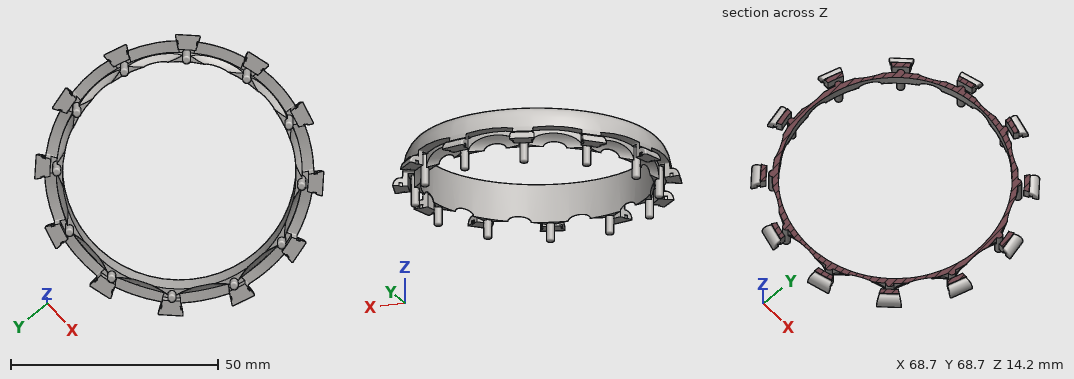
import cadquery as cq
import math

bore_radius = 28.2
top_land_radius = 28.45
outer_radius = 32.55
ring_height = 9.66

count = 12
pitch_angle = 360.0 / count
foot_angle = pitch_angle / 2

overall_width = 68.69
foot_height = 2.15
foot_neck_fillet = 0.4
foot_edge_round = 0.3
foot_blank_width = 10.0
notch_start = 31.2
notch_height = 0.8
notch_length = 1.6
notch_depth = 0.3

inner_wall_radius = 29.7
groove_outer_radius = 31.2
groove_height = 3.3

opening_width = 12.0
opening_side_height = 3.5
opening_mid_height = 3.87
opening_corner_round = 0.3

scoop_centre_radius = 48.0
scoop_radius = 20.14
scoop_height = 7.3

pin_circle_radius = 29.62
pin_diameter = 2.0
pin_length = 4.5
pin_root_height = 4.0
pin_tip_round = 0.5

cut_overrun = 1.0

half_pitch = math.radians(foot_angle)
half_opening = opening_width / 2
corner_x = overall_width / 2 - foot_edge_round
corner_y = half_opening + foot_edge_round
foot_radius = corner_x * math.cos(half_pitch) + corner_y * math.sin(half_pitch) + foot_edge_round

foot_neck_top = foot_height + foot_neck_fillet


def around_ring(shape, first_angle):
    """Copies of a shape made on the +X axis, spaced evenly around Z."""
    copies = []
    for index in range(count):
        angle = first_angle + index * pitch_angle
        copies.append(shape.val().rotate(cq.Vector(0, 0, 0), cq.Vector(0, 0, 1), angle))
    return copies


def make_ring():
    """Ring with a plain bore and a quarter-elliptic outside, revolved about Z."""
    profile = (
        cq.Workplane("XZ")
        .moveTo(bore_radius, 0)
        .lineTo(outer_radius, 0)
        .lineTo(outer_radius, foot_neck_top)
        .ellipseArc(
            outer_radius - top_land_radius, ring_height - foot_neck_top, 0, 90, startAtCurrent=True
        )
        .lineTo(bore_radius, ring_height)
        .close()
    )
    return profile.revolve(360, (0, 0, 0), (0, 1, 0))


def make_groove():
    """Annular groove cut up into the underside of the ring."""
    return (
        cq.Workplane("XY", origin=(0, 0, -cut_overrun))
        .circle(groove_outer_radius)
        .circle(inner_wall_radius)
        .extrude(groove_height + cut_overrun)
    )


def make_opening():
    """Radial slot with an arched ceiling, stopping at the inner wall."""
    slot = (
        cq.Workplane("YZ")
        .moveTo(-half_opening, -cut_overrun)
        .lineTo(half_opening, -cut_overrun)
        .lineTo(half_opening, opening_side_height)
        .threePointArc((0, opening_mid_height), (-half_opening, opening_side_height))
        .close()
        .extrude(foot_radius + cut_overrun)
    )
    slot = slot.edges("|X").edges(">Z").fillet(opening_corner_round)
    core = cq.Workplane("XY", origin=(0, 0, -cut_overrun)).circle(inner_wall_radius).extrude(ring_height)
    return slot.cut(core)


def make_flank_notch(flank_offset):
    """Bar along X that sinks half its width into a flank standing at the given Y."""
    return (
        cq.Workplane("XY", origin=(notch_start, flank_offset, 0))
        .box(notch_length, 2 * notch_depth, 2 * notch_height, centered=(False, True, True))
    )


def make_foot():
    """Tapered foot with a quarter-elliptic top, blended into the upright outside of the ring."""
    shoulder_radius = outer_radius + foot_neck_fillet
    foot = (
        cq.Workplane("XZ", origin=(0, foot_blank_width / 2, 0))
        .moveTo(groove_outer_radius, 0)
        .lineTo(foot_radius, 0)
        .ellipseArc(foot_radius - shoulder_radius, foot_height, 0, 90, startAtCurrent=True)
        .radiusArc((outer_radius, foot_neck_top), foot_neck_fillet)
        .lineTo(groove_outer_radius, foot_neck_top)
        .close()
        .extrude(foot_blank_width)
    )
    for side in (-1, 1):
        opening = make_opening().rotate((0, 0, 0), (0, 0, 1), side * foot_angle)
        foot = foot.cut(opening)
    foot = foot.edges("%BSPLINE").fillet(foot_edge_round)
    for side in (-1, 1):
        notch = make_flank_notch(-side * half_opening).rotate((0, 0, 0), (0, 0, 1), side * foot_angle)
        foot = foot.cut(notch)
    return foot


def make_scoop():
    """Flattened dome about an upright axis outside the ring, kept to the inner wall."""
    dome = (
        cq.Workplane("XZ", origin=(scoop_centre_radius, 0, 0))
        .lineTo(-scoop_radius, 0)
        .ellipseArc(scoop_radius, scoop_height, 90, 180, startAtCurrent=True, sense=-1)
        .close()
        .revolve(360, (0, 0, 0), (0, 1, 0))
    )
    wall = cq.Workplane("XY").circle(inner_wall_radius).extrude(ring_height)
    return dome.intersect(wall)


def make_pin():
    """Round pin with a rounded tip, hanging below the ring."""
    return (
        cq.Workplane("XY", origin=(pin_circle_radius, 0, -pin_length))
        .circle(pin_diameter / 2)
        .extrude(pin_length + pin_root_height)
        .faces("<Z")
        .edges()
        .fillet(pin_tip_round)
    )


ring = make_ring().cut(make_groove()).val()
ring = ring.cut(*around_ring(make_opening(), 0))
ring = ring.cut(*around_ring(make_scoop(), 0))
feet = around_ring(make_foot(), foot_angle)
pins = around_ring(make_pin(), foot_angle)
result = cq.Workplane("XY").newObject([ring.fuse(*feet, *pins)]).clean()